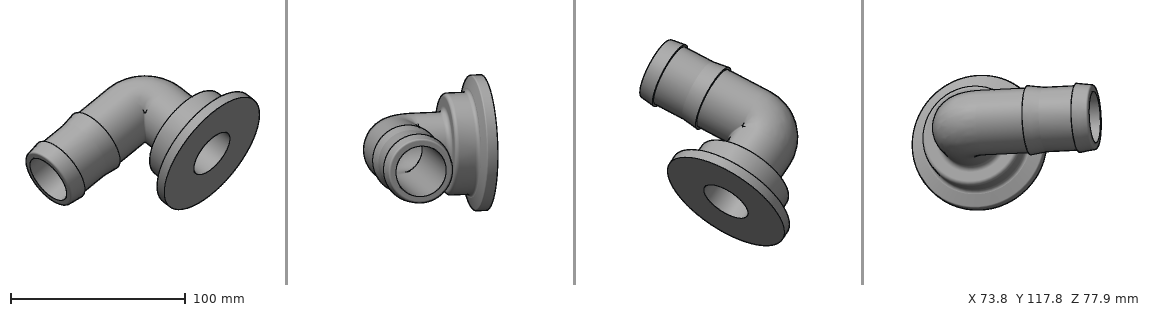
import cadquery as cq
import math

PIPE_RADIUS = 37.1 / 2
BORE_RADIUS = 29.4 / 2
BEND_RADIUS = 13.2
CORNER_FILLET = 1.0

HOSE_LENGTH = 78.8
BARB_RADIUS = 39.8 / 2
BARB_LENGTH = 9.7
BARB_PITCH = 28.7
BARB_COUNT = 2
TIP_FILLET = 1.2

FACE_X = 53.9
FLANGE_RADIUS = 77.9 / 2
RIM_WIDTH = 6.1
RIM_FILLET = 1.0
TAPER_X = 45.6
HUB_RADIUS = 58.6 / 2
HUB_X = 31.3
HUB_FILLET = 2.2
NECK_FILLET = 3.1


def elbow(radius):
    """Solid round elbow: a quarter bend followed by the two straight branches."""
    half_chord = math.sqrt(radius**2 - BEND_RADIUS**2)
    bend = (
        cq.Workplane("YZ", origin=(BEND_RADIUS, 0, 0))
        .moveTo(-BEND_RADIUS, -half_chord)
        .threePointArc((radius, 0), (-BEND_RADIUS, half_chord))
        .close()
        .revolve(90, (-BEND_RADIUS, 0), (-BEND_RADIUS, 1))
    )
    clamp_branch = (
        cq.Workplane("YZ", origin=(BEND_RADIUS, 0, 0)).circle(radius).extrude(FACE_X - BEND_RADIUS)
    )
    hose_branch = (
        cq.Workplane("XZ", origin=(0, -BEND_RADIUS, 0)).circle(radius).extrude(HOSE_LENGTH - BEND_RADIUS)
    )
    return bend.union(clamp_branch).union(hose_branch)


def inner_corner():
    """Mitred inside corner of the elbow, with its sharp mitre edge filleted."""
    reach = HUB_X - NECK_FILLET
    clamp_branch = cq.Workplane("YZ").circle(PIPE_RADIUS).extrude(reach)
    hose_branch = cq.Workplane("XZ").circle(PIPE_RADIUS).extrude(reach)
    start = math.sqrt(2) * BEND_RADIUS
    beyond_bend_axis = (
        cq.Workplane("XY").box(2 * reach, 4 * reach, 4 * reach)
        .translate((start + reach, 0, 0))
        .rotate((0, 0, 0), (0, 0, 1), -45)
    )
    corner = clamp_branch.union(hose_branch).intersect(beyond_bend_axis)
    mitre_edge = cq.selectors.NearestToPointSelector((PIPE_RADIUS, -PIPE_RADIUS, 0))
    return corner.edges(mitre_edge).fillet(CORNER_FILLET)


def clamp_end():
    """Hub and clamp flange, revolved about the X axis."""
    rim_x = FACE_X - RIM_WIDTH
    profile = (
        cq.Workplane("XY")
        .moveTo(HUB_X - NECK_FILLET, 0)
        .lineTo(HUB_X - NECK_FILLET, PIPE_RADIUS)
        .radiusArc((HUB_X, PIPE_RADIUS + NECK_FILLET), -NECK_FILLET)
        .lineTo(HUB_X, HUB_RADIUS - HUB_FILLET)
        .radiusArc((HUB_X + HUB_FILLET, HUB_RADIUS), HUB_FILLET)
        .lineTo(TAPER_X - HUB_FILLET, HUB_RADIUS)
        .radiusArc((TAPER_X, HUB_RADIUS + HUB_FILLET), -HUB_FILLET)
        .lineTo(rim_x, FLANGE_RADIUS)
        .lineTo(FACE_X, FLANGE_RADIUS)
        .lineTo(FACE_X, 0)
        .close()
    )
    flange = profile.revolve(360, (0, 0, 0), (1, 0, 0))
    rim_edge = cq.selectors.NearestToPointSelector((rim_x, 0, 0))
    return flange.edges("%CIRCLE").edges(rim_edge).fillet(RIM_FILLET)


def barb(end_y):
    """Conical hose barb, small at end_y and widest one barb length further up the hose branch."""
    return (
        cq.Workplane("XY")
        .moveTo(0, end_y)
        .lineTo(PIPE_RADIUS, end_y)
        .lineTo(BARB_RADIUS, end_y + BARB_LENGTH)
        .lineTo(0, end_y + BARB_LENGTH)
        .close()
        .revolve(360, (0, 0, 0), (0, 1, 0))
    )


body = elbow(PIPE_RADIUS).union(inner_corner()).union(clamp_end())
for index in range(BARB_COUNT):
    body = body.union(barb(index * BARB_PITCH - HOSE_LENGTH))
body = body.faces("<Y").edges().fillet(TIP_FILLET)

result = body.cut(elbow(BORE_RADIUS))